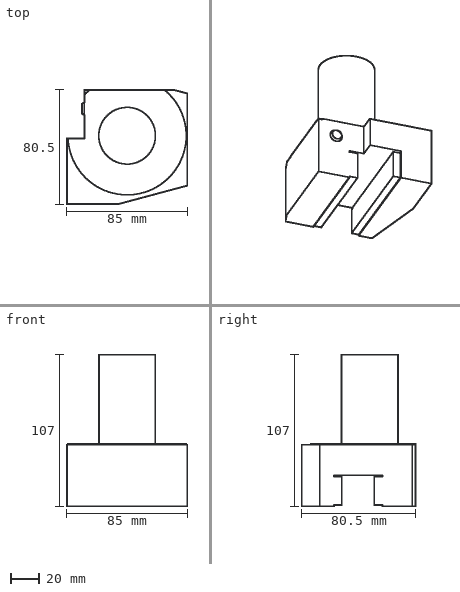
import cadquery as cq
import math


total_height = 107.0
head_width = 85.0
head_depth = 80.5
shaft_diameter = 40.0
shaft_to_back = 32.3

head_height = 43.5
shoulder_height = 0.4
shoulder_radius = 41.7
bevel_angle = math.radians(15)
front_bevel_width = 48.3
back_bevel_width = 9.2
corner_width = 12.4
corner_depth = 34.1

left = -head_width / 2
right = head_width / 2
back = shaft_to_back
front = back - head_depth
corner_x = left + corner_width
corner_y = back - corner_depth

slot_front = front + 23.0
slot_width = 34.0
slot_back = slot_front + slot_width
slot_height = 21.8
plate_gap = 0.9
plate_height = slot_height - 2 * plate_gap
front_plate_thickness = 5.4
back_plate_thickness = 5.9
front_plate_recess = 1.4

nozzle_base_diameter = 9.0
nozzle_tip_diameter = 7.1
nozzle_length = 1.8
nozzle_y = front + 67.2
nozzle_z = 32.1


def head_block(height):
    """Head outline, with bevelled right corners and a square corner cutout, raised to a height."""
    slope = math.tan(bevel_angle)
    outline = [
        (left, front),
        (right - front_bevel_width, front),
        (right, front + front_bevel_width * slope),
        (right, back - back_bevel_width * slope),
        (right - back_bevel_width, back),
        (corner_x, back),
        (corner_x, corner_y),
        (left, corner_y),
    ]
    return cq.Workplane("XY").polyline(outline).close().extrude(height)


def box_between(x_range, y_range, z_range):
    """Box spanning the given X, Y and Z ranges."""
    sizes = [end - start for start, end in (x_range, y_range, z_range)]
    corner = (x_range[0], y_range[0], z_range[0])
    return cq.Workplane("XY").box(*sizes, centered=False).translate(corner)


def shoulder():
    """Low round seat on top of the head, trimmed to the head outline."""
    seat_height = head_height + shoulder_height
    return cq.Workplane("XY").circle(shoulder_radius).extrude(seat_height).intersect(head_block(seat_height))


def shaft():
    """Plain cylinder rising from the head."""
    return (
        cq.Workplane("XY")
        .workplane(offset=head_height)
        .circle(shaft_diameter / 2)
        .extrude(total_height - head_height)
    )


def jaw_plates():
    """One plate on each slot wall, kept clear of the slot roof and the underside."""
    z_range = (plate_gap, plate_gap + plate_height)
    front_plate = box_between(
        (left + front_plate_recess, right), (slot_front, slot_front + front_plate_thickness), z_range
    )
    back_plate = box_between((corner_x, right), (slot_back - back_plate_thickness, slot_back), z_range)
    return front_plate.union(back_plate)


def nozzle():
    """Cone frustum pointing toward -X."""
    return (
        cq.Workplane("YZ", origin=(corner_x, nozzle_y, nozzle_z))
        .circle(nozzle_base_diameter / 2)
        .workplane(offset=-nozzle_length)
        .circle(nozzle_tip_diameter / 2)
        .loft()
    )


slot = box_between((left, right), (slot_front, slot_back), (0, slot_height))
head = head_block(head_height).union(shoulder()).cut(slot)
result = head.union(jaw_plates()).union(shaft()).union(nozzle())